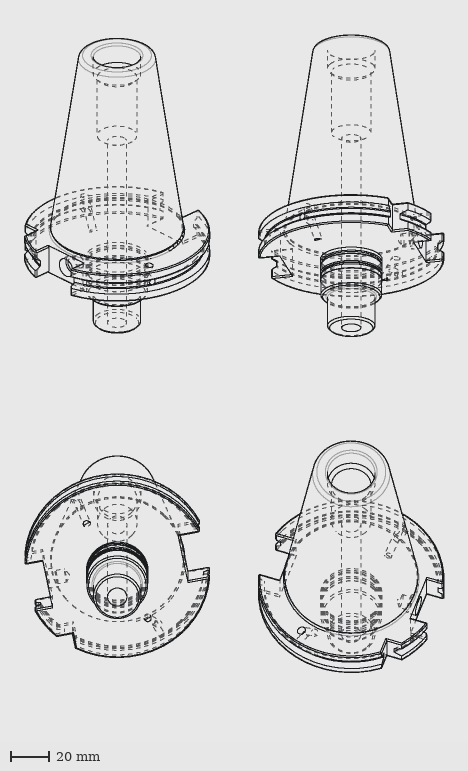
import cadquery as cq
import math

TOTAL_HEIGHT = 160.1
FLANGE_BOTTOM = 39.2
FLANGE_THICKNESS = 16.0
FLANGE_TOP = FLANGE_BOTTOM + FLANGE_THICKNESS

TAPER_RATE = 7 / 24
TAPER_LENGTH = 101.8
GAUGE_DIAMETER = 69.8
NOSE_DIAMETER = GAUGE_DIAMETER - TAPER_LENGTH * TAPER_RATE
NOSE_FILLET = 2.2
UNDERCUT_DIAMETER = 69.3
UNDERCUT_FILLET = 1.0
UNDERCUT_HEIGHT = FLANGE_TOP + UNDERCUT_FILLET
UNDERCUT_BEVEL = 1.0
TAPER_BASE = UNDERCUT_HEIGHT + UNDERCUT_BEVEL

FLANGE_DIAMETER = 97.5
RIM_CHAMFER = 0.6
GROOVE_HEIGHT = 47.2
GROOVE_DEPTH = 3.2
GROOVE_FLOOR_WIDTH = 3.2
GROOVE_FLANK_ANGLE = 30.0
GROOVE_FLOOR_FILLET = 0.6

SLOT_WIDTH = 25.6
FRONT_SLOT_FLOOR = 37.3
REAR_SLOT_FLOOR = 35.2
NOTCH_CORNER = 30.1
EDGE_CHAMFER = 0.8

CHIP_MOUTH_DIAMETER = 10.1
CHIP_MOUTH_DEPTH = 4.8
CHIP_DIAMETER = 7.0
CHIP_DEPTH = 9.6

COOLANT_DIAMETER = 3.8
COOLANT_RADIUS = 41.6
COOLANT_TILT = 35.0
COOLANT_LENGTH = 19.2
COOLANT_ANGLES = (160, 340)
CROSS_HOLE_DIAMETER = 3.2
CROSS_HOLE_END_RADIUS = 35.2

COLLAR_DIAMETER = 32.5
COLLAR_BOTTOM = 27.4
COLLAR_GROOVE_DEPTH = 0.6
UPPER_GROOVE_TOP = 37.5
UPPER_GROOVE_BOTTOM = 35.5
LOWER_GROOVE_TOP = 31.5
LOWER_GROOVE_BOTTOM = 29.6
COLLAR_GROOVE_TOP_BEVEL = 0.5
UPPER_GROOVE_BOTTOM_BEVEL = 0.5
LOWER_GROOVE_BOTTOM_BEVEL = 1.1
PILOT_DIAMETER = 32.0
PILOT_BOTTOM = 18.0
PILOT_CHAMFER = 1.0
SPIGOT_DIAMETER = 25.0
SPIGOT_CHAMFER = 1.1
SPIGOT_FILLET = 0.8

BORE_DIAMETER = 25.0
BORE_DEPTH = 11.0
BORE_MOUTH_FILLET = 1.1
THREAD_DIAMETER = 20.8
THREAD_DEPTH = 48.0
THROUGH_DIAMETER = 10.1
DRILL_POINT_ANGLE = 118.0

ORIGIN = (0, 0, 0)
Z_AXIS = (0, 0, 1)


def revolve_outline(outline):
    """Close a (radius, height) outline and turn it about the Z axis."""
    return outline.close().revolve(360, (0, 0), (0, 1))


def drill_point_height(wide_radius, narrow_radius=0):
    """Height of the conical drill end between two radii."""
    return (wide_radius - narrow_radius) / math.tan(math.radians(DRILL_POINT_ANGLE / 2))


def collar_groove_points(top, bottom, bottom_bevel):
    """Groove outline on the collar, listed from bottom to top."""
    collar = COLLAR_DIAMETER / 2
    floor = collar - COLLAR_GROOVE_DEPTH
    return [
        (collar, bottom),
        (floor, bottom + bottom_bevel),
        (floor, top - COLLAR_GROOVE_TOP_BEVEL),
        (collar, top),
    ]


def make_pilot():
    collar = COLLAR_DIAMETER / 2
    pilot = PILOT_DIAMETER / 2
    spigot = SPIGOT_DIAMETER / 2
    lower = collar_groove_points(LOWER_GROOVE_TOP, LOWER_GROOVE_BOTTOM, LOWER_GROOVE_BOTTOM_BEVEL)
    upper = collar_groove_points(UPPER_GROOVE_TOP, UPPER_GROOVE_BOTTOM, UPPER_GROOVE_BOTTOM_BEVEL)
    outline = (
        cq.Workplane("XZ")
        .lineTo(spigot - SPIGOT_CHAMFER, 0)
        .lineTo(spigot, SPIGOT_CHAMFER)
        .lineTo(spigot, PILOT_BOTTOM - SPIGOT_FILLET)
        .radiusArc((spigot + SPIGOT_FILLET, PILOT_BOTTOM), SPIGOT_FILLET)
        .lineTo(pilot - PILOT_CHAMFER, PILOT_BOTTOM)
        .lineTo(pilot, PILOT_BOTTOM + PILOT_CHAMFER)
        .lineTo(pilot, COLLAR_BOTTOM)
        .lineTo(collar, COLLAR_BOTTOM)
        .polyline(lower, includeCurrent=True)
        .polyline(upper, includeCurrent=True)
        .lineTo(collar, FLANGE_BOTTOM)
        .lineTo(0, FLANGE_BOTTOM)
    )
    return revolve_outline(outline)


def make_flange():
    rim = FLANGE_DIAMETER / 2
    floor = rim - GROOVE_DEPTH
    half_floor = GROOVE_FLOOR_WIDTH / 2
    half_mouth = half_floor + GROOVE_DEPTH * math.tan(math.radians(GROOVE_FLANK_ANGLE))
    outline = cq.Workplane("XZ").polyline([
        (0, FLANGE_BOTTOM),
        (rim - RIM_CHAMFER, FLANGE_BOTTOM),
        (rim, FLANGE_BOTTOM + RIM_CHAMFER),
        (rim, GROOVE_HEIGHT - half_mouth),
        (floor, GROOVE_HEIGHT - half_floor),
        (floor, GROOVE_HEIGHT + half_floor),
        (rim, GROOVE_HEIGHT + half_mouth),
        (rim, FLANGE_TOP - RIM_CHAMFER),
        (rim - RIM_CHAMFER, FLANGE_TOP),
        (0, FLANGE_TOP),
    ])
    flange = revolve_outline(outline)
    return flange.edges(cq.selectors.RadiusNthSelector(0)).fillet(GROOVE_FLOOR_FILLET)


def make_taper():
    nose = NOSE_DIAMETER / 2
    base = nose + (TOTAL_HEIGHT - TAPER_BASE) * TAPER_RATE / 2
    undercut = UNDERCUT_DIAMETER / 2
    outline = (
        cq.Workplane("XZ")
        .moveTo(0, FLANGE_TOP)
        .lineTo(undercut + UNDERCUT_FILLET, FLANGE_TOP)
        .radiusArc((undercut, UNDERCUT_HEIGHT), UNDERCUT_FILLET)
        .lineTo(base, TAPER_BASE)
        .lineTo(nose, TOTAL_HEIGHT)
        .lineTo(0, TOTAL_HEIGHT)
    )
    return revolve_outline(outline).faces(">Z").edges().fillet(NOSE_FILLET)


def make_bore():
    bore = BORE_DIAMETER / 2
    thread = THREAD_DIAMETER / 2
    through = THROUGH_DIAMETER / 2
    seat_top = TOTAL_HEIGHT - BORE_DEPTH
    seat_bottom = seat_top - (bore - thread)
    point_top = TOTAL_HEIGHT - THREAD_DEPTH
    outline = (
        cq.Workplane("XZ")
        .lineTo(through, 0)
        .lineTo(through, point_top - drill_point_height(thread, through))
        .lineTo(thread, point_top)
        .lineTo(thread, seat_bottom)
        .lineTo(bore, seat_top)
        .lineTo(bore, TOTAL_HEIGHT - BORE_MOUTH_FILLET)
        .radiusArc((bore + BORE_MOUTH_FILLET, TOTAL_HEIGHT), BORE_MOUTH_FILLET)
        .lineTo(0, TOTAL_HEIGHT)
    )
    return revolve_outline(outline)


def make_drive_slot(floor_distance):
    """Slot cutter on the +Y side, widened by chamfers at both flange faces and at the rim."""
    half = SLOT_WIDTH / 2
    wide = half + EDGE_CHAMFER
    low = FLANGE_BOTTOM + EDGE_CHAMFER
    high = FLANGE_TOP - EDGE_CHAMFER
    rim = FLANGE_DIAMETER / 2
    slot = (
        cq.Workplane("XZ", origin=(0, floor_distance, 0))
        .polyline([
            (-wide, FLANGE_BOTTOM), (-half, low), (-half, high), (-wide, FLANGE_TOP),
            (wide, FLANGE_TOP), (half, high), (half, low), (wide, FLANGE_BOTTOM),
        ])
        .close()
        .extrude(floor_distance - rim)
    )
    rim_corner = math.sqrt(rim**2 - wide**2)
    flare_start = rim_corner - EDGE_CHAMFER
    flare_end = half + rim - flare_start
    rim_chamfers = (
        cq.Workplane("XY", origin=(0, 0, FLANGE_BOTTOM))
        .polyline([(-half, flare_start), (half, flare_start), (flare_end, rim), (-flare_end, rim)])
        .close()
        .extrude(FLANGE_THICKNESS)
    )
    return slot.union(rim_chamfers)


def make_notch():
    """Square corner notch cutter with chamfered edges at both flange faces."""
    size = FLANGE_DIAMETER / 2
    wide = size + 2 * EDGE_CHAMFER
    center = -NOTCH_CORNER - size / 2
    notch = (
        cq.Workplane("XY", origin=(center, center, FLANGE_BOTTOM))
        .rect(size, size)
        .extrude(FLANGE_THICKNESS)
    )
    for face_height, inward in ((FLANGE_BOTTOM, EDGE_CHAMFER), (FLANGE_TOP, -EDGE_CHAMFER)):
        flare = (
            cq.Workplane("XY", origin=(center, center, face_height))
            .rect(wide, wide)
            .workplane(offset=inward)
            .rect(size, size)
            .loft()
        )
        notch = notch.union(flare)
    return notch


def make_chip_hole():
    """Stepped blind hole running along +Y from the front slot floor."""
    mouth = CHIP_MOUTH_DIAMETER / 2
    inner = CHIP_DIAMETER / 2
    outline = cq.Workplane("XZ").polyline([
        (0, 0),
        (mouth, 0),
        (mouth, CHIP_MOUTH_DEPTH),
        (inner, CHIP_MOUTH_DEPTH),
        (inner, CHIP_DEPTH),
        (0, CHIP_DEPTH + drill_point_height(inner)),
    ])
    hole = revolve_outline(outline).rotate(ORIGIN, (1, 0, 0), -90)
    return hole.translate((0, -FRONT_SLOT_FLOOR, GROOVE_HEIGHT))


def make_coolant_passage(angle):
    """Hole leaning toward the axis from the flange face, joined by a radial hole in the groove."""
    tilt = math.radians(COOLANT_TILT)
    direction = cq.Vector(-math.sin(tilt), 0, -math.cos(tilt))
    start = cq.Vector(COOLANT_RADIUS, 0, FLANGE_TOP) - direction * COOLANT_DIAMETER
    length = COOLANT_LENGTH + COOLANT_DIAMETER
    inclined = cq.Solid.makeCylinder(COOLANT_DIAMETER / 2, length, start, direction)
    cross_start = cq.Vector(CROSS_HOLE_END_RADIUS, 0, GROOVE_HEIGHT)
    cross_length = FLANGE_DIAMETER / 2 - CROSS_HOLE_END_RADIUS
    cross = cq.Solid.makeCylinder(CROSS_HOLE_DIAMETER / 2, cross_length, cross_start, cq.Vector(1, 0, 0))
    return cq.Workplane(inclined).union(cq.Workplane(cross)).rotate(ORIGIN, Z_AXIS, angle)


body = make_pilot().union(make_flange()).union(make_taper())
body = body.cut(make_bore())
body = body.cut(make_drive_slot(FRONT_SLOT_FLOOR).rotate(ORIGIN, Z_AXIS, 180))
body = body.cut(make_drive_slot(REAR_SLOT_FLOOR))
body = body.cut(make_notch())
body = body.cut(make_chip_hole())
for passage_angle in COOLANT_ANGLES:
    body = body.cut(make_coolant_passage(passage_angle))

result = body